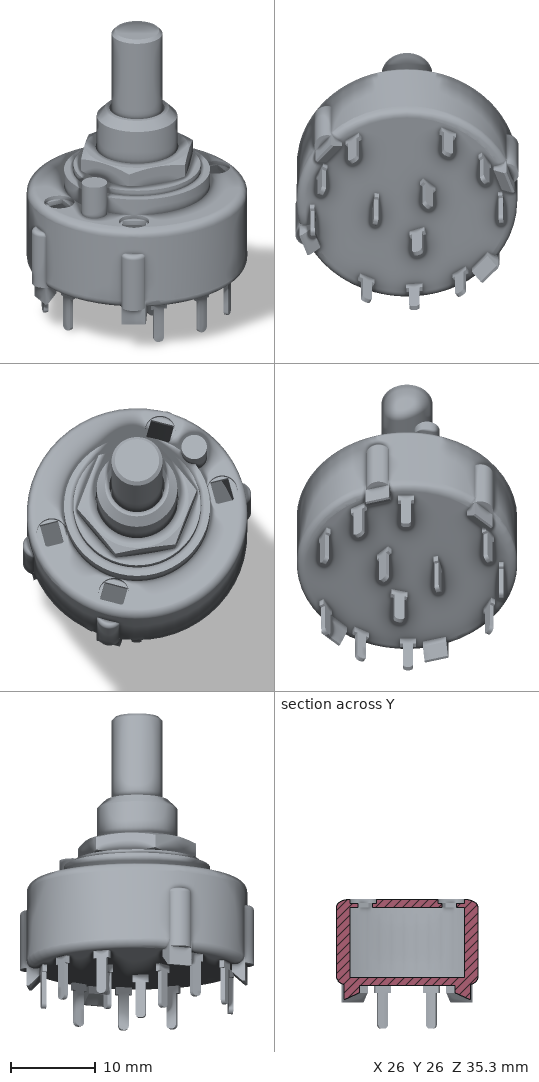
import cadquery as cq
import math

overall_height = 35.3
body_bottom = 5.12
body_top = 15.3
collar_top = 17.3
washer_top = 17.95
nut_top = 20.27
bushing_top = 25.28
locating_pin_top = 19.28

body_diameter = 26.0
body_wall = 1.0
body_edge_radius = body_wall
collar_diameter = 17.23
washer_diameter = 15.0
washer_seat_diameter = 15.15
washer_seat_depth = 0.35
bushing_diameter = 9.5
bushing_chamfer = 1.0
bushing_bore = 6.5
shaft_diameter = 6.0
shaft_chamfer = 0.4

nut_across_corners = 14.25
nut_bore = 9.75
nut_turn = -5.6
nut_face_diameter = 12.18
nut_bevel_height = 0.42

locating_pin_diameter = 3.0
locating_pin_offset = 9.5

station_angle = 60.0
recess_diameter = 3.55
recess_depth = 0.45
recess_distance = 10.38
pocket_radial = 2.2
pocket_width = math.sqrt(recess_diameter**2 - pocket_radial**2)
column_diameter = 3.0
column_distance = 12.35
column_bottom = 5.25
column_top = 12.3
column_edge_radius = 0.45

foot_outer = 12.95
foot_length = 1.55
foot_width = 2.85
foot_skew = 0.18
foot_bottom = 3.1
foot_bevel_top = 4.25
foot_tip_length = 0.32

terminal_width = 1.2
terminal_shoulder_width = 1.9
terminal_thickness = 0.53
terminal_shoulder = 4.25
terminal_tip_radius = 0.5
outer_terminal_distance = 11.12
outer_terminal_pitch = 30.0
inner_terminal_distance = 3.78
pole_angles = [90, 210, 330]

embed = 0.35


def cylinder(diameter, bottom, top):
    """Upright cylinder on the switch axis."""
    return cq.Workplane("XY").workplane(offset=bottom).circle(diameter / 2).extrude(top - bottom)


def turned(shape, angle):
    """Copy of a shape turned about the switch axis."""
    return shape.rotate((0, 0, 0), (0, 0, 1), angle)


def make_housing():
    """Round body with the collar, seated washer and locating pin."""
    housing = cylinder(body_diameter, body_bottom, body_top).edges().fillet(body_edge_radius)
    housing = housing.union(cylinder(collar_diameter, body_top - embed, collar_top))
    housing = housing.cut(cylinder(washer_seat_diameter, collar_top - washer_seat_depth, collar_top))
    housing = housing.union(cylinder(washer_diameter, collar_top - washer_seat_depth, washer_top))
    pin = cylinder(locating_pin_diameter, body_top - embed, locating_pin_top)
    return housing.union(pin.translate((0, -locating_pin_offset, 0)))


def make_nut():
    """Hexagon nut with both faces bevelled at the corners and a clearance bore."""
    height = nut_top - washer_top
    hexagon = cq.Workplane("XY").polygon(6, nut_across_corners).extrude(height)
    corner_radius = nut_across_corners / 2
    face_radius = nut_face_diameter / 2
    bevel_profile = [
        (0, 0),
        (face_radius, 0),
        (corner_radius, nut_bevel_height),
        (corner_radius, height - nut_bevel_height),
        (face_radius, height),
        (0, height),
    ]
    bevel = cq.Workplane("XZ").polyline(bevel_profile).close().revolve(360, (0, 0, 0), (0, 1, 0))
    nut = hexagon.intersect(bevel).cut(cylinder(nut_bore, 0, height))
    return turned(nut, nut_turn).translate((0, 0, washer_top))


def make_bushing():
    """Chamfered bushing with a clearance bore around the shaft."""
    bushing = cylinder(bushing_diameter, washer_top - embed, bushing_top)
    bushing = bushing.faces(">Z").chamfer(bushing_chamfer)
    return bushing.cut(cylinder(bushing_bore, nut_top, bushing_top))


def make_shaft():
    """Round control shaft with a chamfered end."""
    shaft = cylinder(shaft_diameter, nut_top - embed, overall_height)
    return shaft.faces(">Z").chamfer(shaft_chamfer)


def make_recess():
    """Round recess with a rectangular opening through the rest of the top wall, out along +X."""
    recess_floor = body_top - recess_depth
    recess = cylinder(recess_diameter, recess_floor, body_top)
    wall_underside = body_top - body_wall
    pocket = (
        cq.Workplane("XY")
        .workplane(offset=wall_underside)
        .rect(pocket_radial, pocket_width)
        .extrude(recess_floor - wall_underside)
    )
    return recess.union(pocket).translate((recess_distance, 0, 0))


def make_column():
    """Round-topped column half sunk in the body wall, out along +X."""
    column = cylinder(column_diameter, column_bottom, column_top)
    column = column.faces(">Z").edges().fillet(column_edge_radius)
    return column.translate((column_distance, 0, 0))


def make_foot():
    """Foot skewed in plan and bevelled below on its inner side, out along +X."""
    foot_top = body_bottom + body_wall
    foot_inner = foot_outer - foot_length
    half_width = foot_width / 2
    plan = [
        (foot_outer, -half_width),
        (foot_outer, half_width),
        (foot_inner, half_width - foot_skew),
        (foot_inner, -half_width - foot_skew),
    ]
    side = [
        (foot_outer, foot_bottom),
        (foot_outer, foot_top),
        (foot_inner, foot_top),
        (foot_inner, foot_bevel_top),
        (foot_outer - foot_tip_length, foot_bottom),
    ]
    block = cq.Workplane("XY").workplane(offset=foot_bottom).polyline(plan).close()
    block = block.extrude(foot_top - foot_bottom)
    bevelled = cq.Workplane("XZ").polyline(side).close().extrude(foot_width, both=True)
    return block.intersect(bevelled)


def make_terminal(distance):
    """Flat terminal with a wide shoulder and a rounded tip, its face turned outward along +X."""
    top = body_bottom + embed
    blade = cq.Workplane("XY").box(terminal_thickness, terminal_width, top, centered=(True, True, False))
    blade = blade.faces("<Z").edges("|X").fillet(terminal_tip_radius)
    shoulder = (
        cq.Workplane("XY")
        .workplane(offset=terminal_shoulder)
        .rect(terminal_thickness, terminal_shoulder_width)
        .extrude(top - terminal_shoulder)
    )
    return blade.union(shoulder).translate((distance, 0, 0))


def four_mirrored(shape):
    """A shape at the first station together with its mirror images at the other three."""
    first = turned(shape, station_angle)
    pair = first.union(first.mirror("YZ"))
    return pair.union(pair.mirror("XZ"))


result = make_housing().union(make_nut()).union(make_bushing()).union(make_shaft())
result = result.union(four_mirrored(make_column())).union(four_mirrored(make_foot()))

result = result.cut(cylinder(body_diameter - 2 * body_wall, body_bottom + body_wall, body_top - body_wall))
result = result.cut(four_mirrored(make_recess()))

for pole_angle in pole_angles:
    result = result.union(turned(make_terminal(inner_terminal_distance), pole_angle))
    for step in (-0.5, 0.5, 1.5):
        outer_angle = pole_angle + step * outer_terminal_pitch
        result = result.union(turned(make_terminal(outer_terminal_distance), outer_angle))